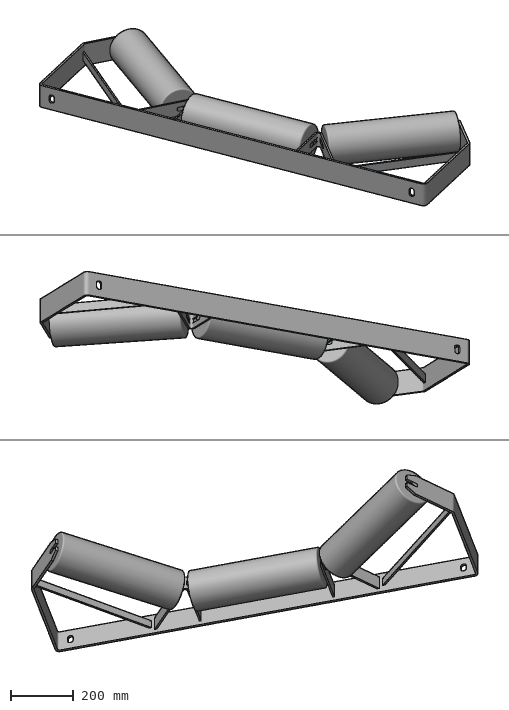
import cadquery as cq
import math


FRAME_LENGTH = 1400.0
FRAME_HEIGHT = 80.0
FRAME_THICKNESS = 8.0
BEND_INNER_RADIUS = 6.0
WING_LENGTH = 183.0
TIP_CHAMFER_LONG = 34.0
TIP_CHAMFER_HIGH = 15.0
MOUNT_SLOT_SPACING = 1302.0
MOUNT_SLOT_WIDTH = 18.0
MOUNT_SLOT_HEIGHT = 30.0

TROUGH_ANGLE = 40.0
ROLLER_DIAMETER = 133.0
ROLLER_LENGTH = 430.0
ROLLER_RIM_RADIUS = 5.0
MIDDLE_ROLLER_Y = 125.0
SIDE_ROLLER_X = -428.0
SIDE_ROLLER_Y = 280.0
SHAFT_DEPTH = 22.0
SHAFT_WIDTH = 14.0
WING_GAP = 3.5
BRACKET_GAP = 3.0

BAR_THICKNESS = 6.0
BRACKET_HEIGHT = 50.0
RIDGE_INNER_RADIUS = 7.0
BRACE_HEIGHT = 30.0
BRACE_FOOT_X = -382.0
BRACE_WALL_Y = 301.0

tilt = math.radians(TROUGH_ANGLE)
axis_x, axis_y = -math.cos(tilt), math.sin(tilt)
rise_x, rise_y = math.sin(tilt), math.cos(tilt)
half_frame = FRAME_LENGTH / 2
half_roller = ROLLER_LENGTH / 2
wing_reach = half_roller + WING_GAP
bracket_reach = half_roller + BRACKET_GAP
wing_shaft_reach = wing_reach + FRAME_THICKNESS
bracket_shaft_reach = bracket_reach + BAR_THICKNESS
slot_length = WING_LENGTH


def point_at_x(reach, x):
    """Point at x on the line square to the left roller axis, `reach` outward from its centre."""
    start_x = SIDE_ROLLER_X + reach * axis_x
    start_y = SIDE_ROLLER_Y + reach * axis_y
    return (x, start_y + (x - start_x) * rise_y / rise_x)


def point_at_y(reach, y):
    """Point at y on the line square to the left roller axis, `reach` outward from its centre."""
    start_x = SIDE_ROLLER_X + reach * axis_x
    start_y = SIDE_ROLLER_Y + reach * axis_y
    return (start_x + (y - start_y) * rise_x / rise_y, y)


def mirror_point(point):
    return (-point[0], point[1])


def flat_bar(outline, height):
    """Bar with the given XY outline, centred on Z = 0."""
    return cq.Workplane("XY").polyline(outline).close().extrude(height / 2, both=True)


def round_bend(body, outer, inner, inner_radius, thickness):
    """Round both corners of a bend about one centre, keeping the bar thickness."""
    for corner, radius in ((outer, inner_radius + thickness), (inner, inner_radius)):
        nearest = cq.selectors.NearestToPointSelector((corner[0], corner[1], 0))
        body = body.edges("|Z").edges(nearest).fillet(radius)
    return body


def with_mirror(body):
    return (body, body.mirror("YZ"))


def place_middle(body):
    return body.translate((0, MIDDLE_ROLLER_Y, 0))


def place_left(body):
    turned = body.rotate((0, 0, 0), (0, 0, 1), -TROUGH_ANGLE)
    return turned.translate((SIDE_ROLLER_X, SIDE_ROLLER_Y, 0))


def make_roller(reach_left, reach_right):
    """Roller along X, centred on the origin, with flatted shaft ends reaching into the supports."""
    drum = cq.Workplane("YZ", origin=(-half_roller, 0, 0)).circle(ROLLER_DIAMETER / 2).extrude(ROLLER_LENGTH)
    drum = drum.faces("<X or >X").edges().fillet(ROLLER_RIM_RADIUS)
    shaft = (
        cq.Workplane("YZ", origin=(-reach_left, 0, 0))
        .slot2D(SHAFT_DEPTH, SHAFT_WIDTH)
        .extrude(reach_left + reach_right)
    )
    return drum.union(shaft)


def shaft_slot(x_start, thickness):
    """Cutter for an open-ended shaft slot in a support between x_start and x_start + thickness."""
    lowest = -SHAFT_DEPTH / 2
    return (
        cq.Workplane("YZ", origin=(x_start, 0, 0))
        .center(lowest + slot_length / 2, 0)
        .slot2D(slot_length, SHAFT_WIDTH)
        .extrude(thickness)
    )


def wing_tip_chamfers(tip):
    """Cutters for the two corners of the left wing tip; `tip` is the outer end of the wing."""
    half_height = FRAME_HEIGHT / 2
    plane = cq.Plane(origin=(tip[0], tip[1], 0), xDir=(rise_x, rise_y, 0), normal=(-axis_x, -axis_y, 0))
    corner = [
        (0, half_height - TIP_CHAMFER_HIGH),
        (0, half_height),
        (-TIP_CHAMFER_LONG, half_height),
    ]
    upper = cq.Workplane(plane).polyline(corner).close().extrude(FRAME_THICKNESS)
    return (upper, upper.mirror("XY"))


def make_frame():
    t = FRAME_THICKNESS
    corner_outer = (-half_frame, 0)
    corner_inner = (-half_frame + t, t)
    bend_outer = point_at_x(wing_reach + t, -half_frame)
    bend_inner = point_at_x(wing_reach, -half_frame + t)
    tip_outer = (bend_outer[0] + WING_LENGTH * rise_x, bend_outer[1] + WING_LENGTH * rise_y)
    tip_inner = (tip_outer[0] - t * axis_x, tip_outer[1] - t * axis_y)

    left_half = [corner_outer, bend_outer, tip_outer, tip_inner, bend_inner, corner_inner]
    right_half = [mirror_point(point) for point in reversed(left_half)]
    frame = flat_bar(left_half + right_half, FRAME_HEIGHT)

    for outer, inner in ((corner_outer, corner_inner), (bend_outer, bend_inner)):
        frame = round_bend(frame, outer, inner, BEND_INNER_RADIUS, t)
        frame = round_bend(frame, mirror_point(outer), mirror_point(inner), BEND_INNER_RADIUS, t)

    wing_cutters = [place_left(shaft_slot(-wing_shaft_reach, t)), *wing_tip_chamfers(tip_outer)]
    for left_cutter in wing_cutters:
        for cutter in with_mirror(left_cutter):
            frame = frame.cut(cutter)

    mount_slots = (
        cq.Workplane("XZ")
        .pushPoints([(-MOUNT_SLOT_SPACING / 2, 0), (MOUNT_SLOT_SPACING / 2, 0)])
        .slot2D(MOUNT_SLOT_HEIGHT, MOUNT_SLOT_WIDTH, 90)
        .extrude(-t)
    )
    return frame.cut(mount_slots)


def make_left_bracket():
    """Upright strut beside the middle roller, folded over a ridge into the sloping arm."""
    foot_y = FRAME_THICKNESS
    strut_outer_x = -bracket_reach
    strut_inner_x = -bracket_shaft_reach
    ridge_outer = point_at_x(-bracket_reach, strut_outer_x)
    ridge_inner = point_at_x(-bracket_shaft_reach, strut_inner_x)
    arm_outer_foot = point_at_y(-bracket_reach, foot_y)
    arm_inner_foot = point_at_y(-bracket_shaft_reach, foot_y)
    outline = [
        (strut_outer_x, foot_y),
        ridge_outer,
        arm_outer_foot,
        arm_inner_foot,
        ridge_inner,
        (strut_inner_x, foot_y),
    ]
    bracket = flat_bar(outline, BRACKET_HEIGHT)
    bracket = round_bend(bracket, ridge_outer, ridge_inner, RIDGE_INNER_RADIUS, BAR_THICKNESS)
    strut_slot = place_middle(shaft_slot(-bracket_shaft_reach, BAR_THICKNESS))
    arm_slot = place_left(shaft_slot(bracket_reach, BAR_THICKNESS))
    return bracket.cut(strut_slot).cut(arm_slot)


def make_left_brace():
    """Sloping bar from the side wall down to the back of the frame's long side."""
    wall_x = -half_frame + FRAME_THICKNESS
    foot_y = FRAME_THICKNESS
    run = BRACE_FOOT_X - wall_x
    drop = BRACE_WALL_Y - foot_y
    slope_length = math.hypot(run, drop)
    foot_width = BAR_THICKNESS * slope_length / drop
    wall_width = BAR_THICKNESS * slope_length / run
    outline = [
        (wall_x, BRACE_WALL_Y),
        (BRACE_FOOT_X, foot_y),
        (BRACE_FOOT_X - foot_width, foot_y),
        (wall_x, BRACE_WALL_Y - wall_width),
    ]
    return flat_bar(outline, BRACE_HEIGHT)


frame = make_frame()
middle_roller = place_middle(make_roller(bracket_shaft_reach, bracket_shaft_reach))
left_roller = place_left(make_roller(wing_shaft_reach, bracket_shaft_reach))
left_bracket = make_left_bracket()
left_brace = make_left_brace()

bodies = [frame, middle_roller]
for left_body in (left_roller, left_bracket, left_brace):
    bodies.extend(with_mirror(left_body))

result = cq.Compound.makeCompound([body.val() for body in bodies])